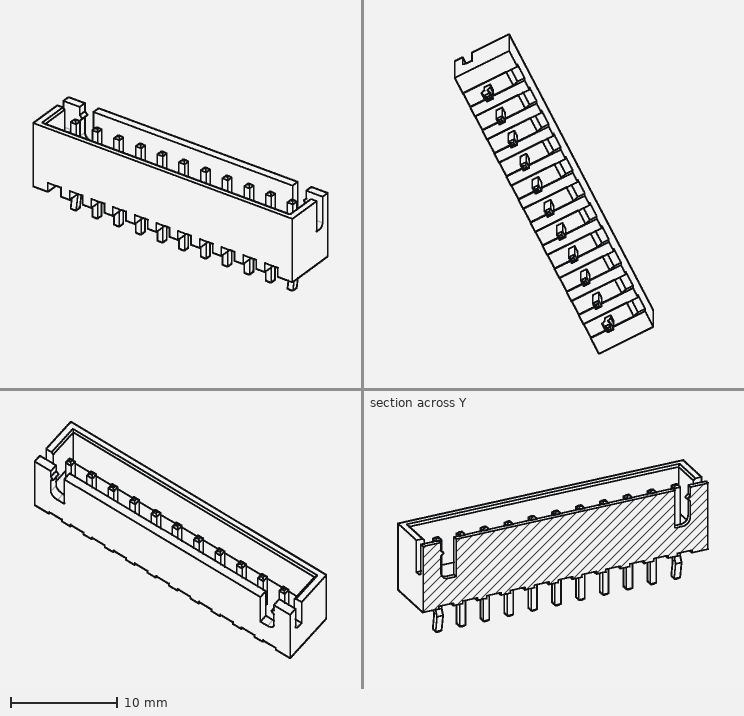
import cadquery as cq


pin_count = 11
pitch = 2.5
pin_width = 0.64
pin_top_z = 6.5
pin_bottom_z = -3.4
pin_tip_chamfer = 0.2

kink_start_z = -0.9
kink_peak_z = -1.5
kink_end_z = -3.18
kink_peak_offset = 0.3

housing_length = 29.9
housing_height = 7.0
housing_front_y = -3.4
housing_back_y = 2.35
floor_top_z = 2.0
end_wall = 0.85
back_wall = 0.85
front_wall = 0.75
lip_chamfer = 0.2

end_slot_width = 0.97
end_slot_depth = 3.35
end_slot_radius = 0.5

tab_width = 1.9
back_slot_width = 1.57
back_slot_depth = 3.95
back_slot_radius = 0.77

ridge_projection = 0.3
ridge_top_drop = 0.9
ridge_height = 0.6

notch_width = 1.5
notch_front_z = 1.0
notch_back_z = 0.27
notch_ramp_length = 0.45
notch_ramp_start_y = housing_front_y + front_wall

half_length = housing_length / 2
cavity_back_y = housing_back_y - back_wall
cavity_front_y = housing_front_y + front_wall
end_slot_front_y = cavity_back_y - end_slot_width
tab_edge_x = -half_length + tab_width
first_pin_x = -(pin_count - 1) * pitch / 2
pin_xs = [first_pin_x + i * pitch for i in range(pin_count)]


def box(x_min, x_max, y_min, y_max, z_min, z_max):
    """Axis-aligned box given by its limits."""
    size = (x_max - x_min, y_max - y_min, z_max - z_min)
    return cq.Workplane("XY").box(*size, centered=False).translate((x_min, y_min, z_min))


def mirror_ends(left_shape):
    """The shape at the -X end together with its mirror image at the +X end."""
    return left_shape.union(left_shape.mirror("YZ"))


def make_cavity():
    """Pocket between the walls, flared at the top along the front and end walls."""
    half_cavity = half_length - end_wall
    pocket = box(-half_cavity, half_cavity, cavity_front_y, cavity_back_y, floor_top_z, housing_height)
    mouth_half = half_cavity + lip_chamfer
    flare = box(
        -mouth_half, mouth_half,
        cavity_front_y - lip_chamfer, end_slot_front_y,
        housing_height - lip_chamfer, housing_height + lip_chamfer,
    )
    flare = flare.faces("<Z").edges("<X or >X or <Y").chamfer(lip_chamfer)
    return pocket.union(flare)


def make_end_slots():
    """Slots through both end walls, rounded at the bottom on the back wall side."""
    slot = box(
        -half_length, -half_length + end_wall,
        end_slot_front_y, cavity_back_y,
        housing_height - end_slot_depth, housing_height,
    )
    slot = slot.faces("<Z").edges(">Y").fillet(end_slot_radius)
    return mirror_ends(slot)


def make_back_slots():
    """Slots through the back wall beside the tabs, rounded at the foot of each tab."""
    slot = box(
        tab_edge_x, tab_edge_x + back_slot_width,
        cavity_back_y, housing_back_y,
        housing_height - back_slot_depth, housing_height,
    )
    slot = slot.faces("<Z").edges("<X").fillet(back_slot_radius)
    return mirror_ends(slot)


def make_latch_ridges():
    """Triangular ridges across the inner edges of the two tabs."""
    ridge_top_z = housing_height - ridge_top_drop
    ridge = (
        cq.Workplane("XZ", origin=(0, housing_back_y, 0))
        .moveTo(tab_edge_x, ridge_top_z)
        .lineTo(tab_edge_x + ridge_projection, ridge_top_z - ridge_height / 2)
        .lineTo(tab_edge_x, ridge_top_z - ridge_height)
        .close()
        .extrude(back_wall)
    )
    return mirror_ends(ridge)


def make_notch(x):
    """Channel under one pin: the roof is high under the front wall, then ramps down to a low level."""
    return (
        cq.Workplane("YZ", origin=(x - notch_width / 2, 0, 0))
        .moveTo(housing_front_y, 0)
        .lineTo(housing_front_y, notch_front_z)
        .lineTo(notch_ramp_start_y, notch_front_z)
        .lineTo(notch_ramp_start_y + notch_ramp_length, notch_back_z)
        .lineTo(housing_back_y, notch_back_z)
        .lineTo(housing_back_y, 0)
        .close()
        .extrude(notch_width)
    )


def make_housing():
    """Open-top shroud with its slots, notches and latch ridges."""
    housing = box(-half_length, half_length, housing_front_y, housing_back_y, 0, housing_height)
    housing = housing.cut(make_cavity()).cut(make_end_slots()).cut(make_back_slots())
    for x in pin_xs:
        housing = housing.cut(make_notch(x))
    return housing.union(make_latch_ridges())


def make_straight_pin(x):
    """Straight square pin with tapered tips."""
    half = pin_width / 2
    pin = box(x - half, x + half, -half, half, pin_bottom_z, pin_top_z)
    return pin.faces("<Z or >Z").chamfer(pin_tip_chamfer)


def make_kinked_pin(x):
    """Pin whose leg steps out towards +Y below the housing and slants back to its tip."""
    half = pin_width / 2
    centre_line = [
        (0, pin_top_z),
        (0, kink_start_z),
        (kink_peak_offset, kink_peak_z),
        (0, kink_end_z),
        (0, pin_bottom_z),
    ]
    front_side = [(y - half, z) for y, z in centre_line]
    back_side = [(y + half, z) for y, z in reversed(centre_line)]
    pin = (
        cq.Workplane("YZ", origin=(x - half, 0, 0))
        .polyline(front_side + back_side)
        .close()
        .extrude(pin_width)
    )
    return pin.faces("<Z or >Z").chamfer(pin_tip_chamfer)


result = make_housing()
for x in pin_xs[1:-1]:
    result = result.union(make_straight_pin(x))
for x in (pin_xs[0], pin_xs[-1]):
    result = result.union(make_kinked_pin(x))